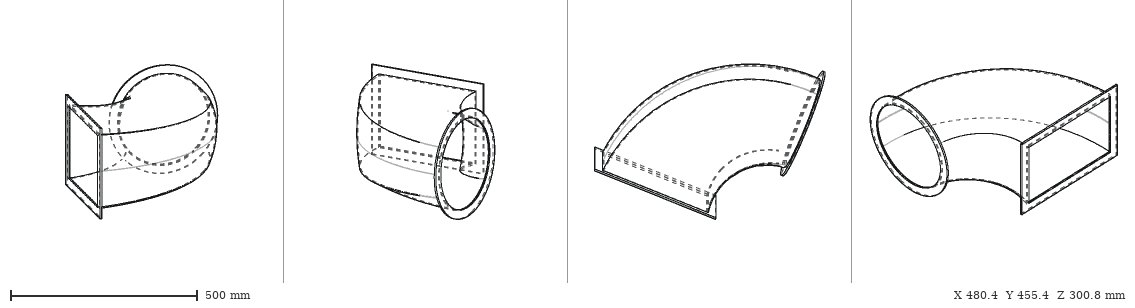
import cadquery as cq
import math

bend_radius = 300.0
round_bore = 250.0
opening_length = 300.0
opening_height = 200.0
wall = 3.0
flange_width = 25.4
flange_thickness = 5.0

round_end = cq.Plane(origin=(0, bend_radius, 0), xDir=(0, 1, 0), normal=(1, 0, 0))
rectangular_end = cq.Plane(origin=(bend_radius, 0, 0), xDir=(1, 0, 0), normal=(0, -1, 0))


def bend_centerline():
    """Quarter circle from the round end to the rectangular end."""
    middle = bend_radius * math.sqrt(0.5)
    return cq.Workplane("XY").moveTo(0, bend_radius).threePointArc((middle, middle), (bend_radius, 0))


def transition(margin):
    """Solid bend from circle to rectangle, larger than the openings by margin all round."""
    circle = cq.Workplane(round_end).circle(round_bore / 2 + margin)
    rectangle = cq.Workplane(rectangular_end).rect(
        opening_length + 2 * margin, opening_height + 2 * margin
    )
    circle.ctx.pendingWires.extend(rectangle.ctx.pendingWires)
    return circle.sweep(bend_centerline(), multisection=True)


def make_duct():
    """Curved sheet-metal transition, open at both ends."""
    return transition(wall).cut(transition(0)).solids()


def make_round_flange():
    """Flat ring against the round end of the duct."""
    return (
        cq.Workplane(round_end)
        .circle(round_bore / 2 + flange_width)
        .circle(round_bore / 2)
        .extrude(-flange_thickness)
    )


def make_rectangular_flange():
    """Flat frame against the rectangular end of the duct."""
    return (
        cq.Workplane(rectangular_end)
        .rect(opening_length + 2 * flange_width, opening_height + 2 * flange_width)
        .rect(opening_length, opening_height)
        .extrude(flange_thickness)
    )


duct = make_duct()
round_flange = make_round_flange()
rectangular_flange = make_rectangular_flange()

result = cq.Compound.makeCompound([duct.val(), round_flange.val(), rectangular_flange.val()])